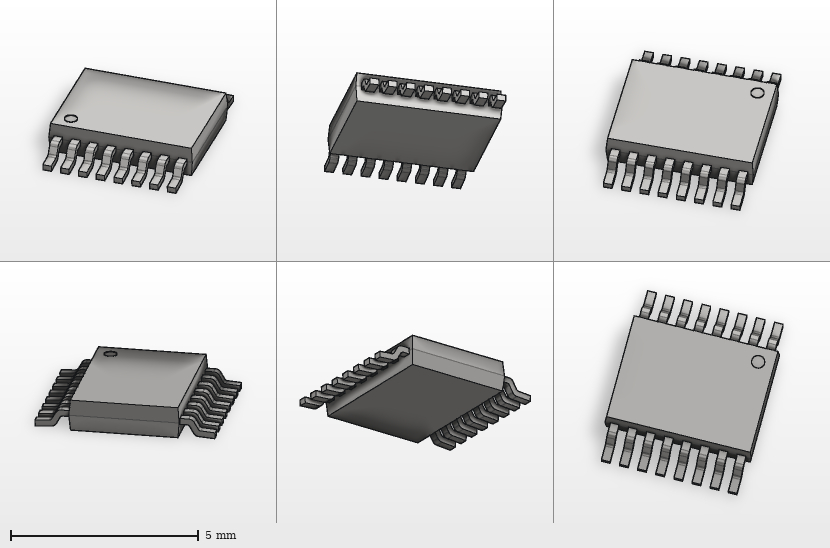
import cadquery as cq
import math

body_length = 4.04
body_width = 3.0
body_height = 0.86
parting_height = 0.44
draft_angle = 5.0

dimple_diameter = 0.355
dimple_depth = 0.025
dimple_x = -1.545
dimple_y = -1.05

lead_span = 4.9
leads_per_side = 8
lead_pitch = 0.5
lead_width = 0.24
lead_thickness = 0.17
foot_length = 0.435
foot_tilt = 4.0
slant_angle = 60.0
shoulder_top = 0.515
outer_bend_radius = 0.17
inner_bend_radius = 0.09
root_depth = 0.1


def make_body_half(height, direction):
    """Half of the body, tapering away from the parting plane up (+1) or down (-1)."""
    parting_plane = cq.Plane(origin=(0, 0, parting_height), xDir=(1, 0, 0), normal=(0, 0, direction))
    return cq.Workplane(parting_plane).rect(body_length, body_width).extrude(height, taper=draft_angle)


def make_dimple():
    return (
        cq.Workplane("XY", origin=(dimple_x, dimple_y, body_height))
        .circle(dimple_diameter / 2)
        .extrude(-dimple_depth)
    )


def below_bend(corner, angle_in, angle_out):
    """Underside corner matching a top corner, one lead thickness away from both straights."""
    y, z = corner
    bisector = math.radians((angle_in + angle_out) / 2)
    half_turn = math.radians((angle_out - angle_in) / 2)
    offset = lead_thickness / math.cos(half_turn)
    return (y - offset * math.sin(bisector), z - offset * math.cos(bisector))


def make_lead():
    """One lead on the +Y side, centred on X = 0; corners are (Y, Z) pairs."""
    tilt = math.radians(foot_tilt)
    root_y = body_width / 2 - root_depth

    tip_top = (lead_span / 2, lead_thickness * math.cos(tilt))
    heel_top = (tip_top[0] - foot_length, tip_top[1] + foot_length * math.tan(tilt))
    slant_run = (shoulder_top - heel_top[1]) / math.tan(math.radians(slant_angle))
    shoulder_corner = (heel_top[0] - slant_run, shoulder_top)

    tip_bottom = (tip_top[0] - lead_thickness * math.sin(tilt), 0)
    heel_bottom = below_bend(heel_top, foot_tilt, slant_angle)
    shoulder_bottom = below_bend(shoulder_corner, slant_angle, 0)

    profile = [
        tip_top,
        heel_top,
        shoulder_corner,
        (root_y, shoulder_top),
        (root_y, shoulder_top - lead_thickness),
        shoulder_bottom,
        heel_bottom,
        tip_bottom,
    ]
    lead = cq.Workplane("YZ").polyline(profile).close().extrude(lead_width / 2, both=True)
    bends = [
        (heel_top, inner_bend_radius),
        (shoulder_corner, outer_bend_radius),
        (shoulder_bottom, inner_bend_radius),
        (heel_bottom, outer_bend_radius),
    ]
    for (y, z), radius in bends:
        nearest_edge = cq.selectors.NearestToPointSelector((0, y, z))
        lead = lead.edges("|X").edges(nearest_edge).fillet(radius)
    return lead


upper_half = make_body_half(body_height - parting_height, 1)
lower_half = make_body_half(parting_height, -1)
result = upper_half.union(lower_half).cut(make_dimple())

back_lead = make_lead()
front_lead = back_lead.mirror("XZ")
for index in range(leads_per_side):
    lead_x = (index - (leads_per_side - 1) / 2) * lead_pitch
    for lead in (back_lead, front_lead):
        result = result.union(lead.translate((lead_x, 0, 0)))